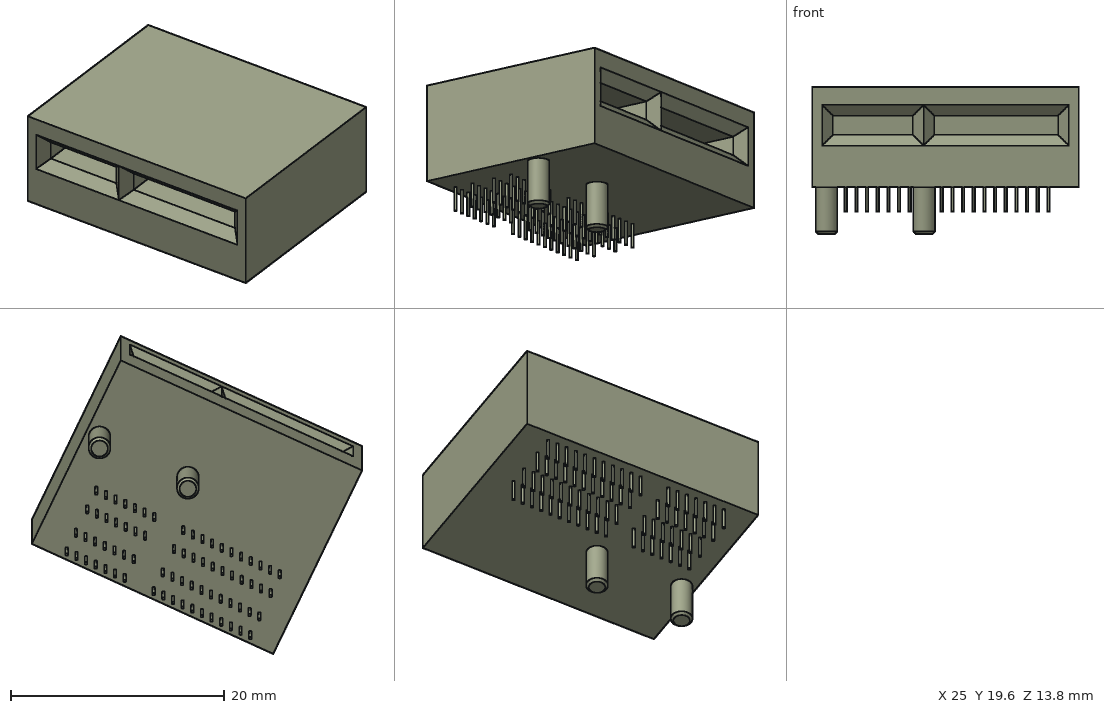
import cadquery as cq

LENGTH = 25.0
DEPTH = 19.6
TOTAL_HEIGHT = 13.8
PEG_LENGTH = 4.4
HEIGHT = TOTAL_HEIGHT - PEG_LENGTH
FRONT_Y = -DEPTH / 2

MOUTH_LEFT = -11.55
MOUTH_RIGHT = -MOUTH_LEFT
KEY_X = -2.05
MOUTH_BOTTOM = 3.9
MOUTH_TOP = 7.7
FLARE = 1.0
POCKET_DEPTH = 8.0

PIN_DIAMETER = 0.25
PIN_LENGTH = 2.3
PIN_PITCH = 1.0
FIRST_PIN_X = -9.35
COLUMNS_BEFORE_KEY = 7
COLUMNS_AFTER_KEY = 11
KEY_GAP = 3 * PIN_PITCH

ROW_SPACING = 2.0
PAIR_GAP = 2.5
REAR_ROW_Y = 8.8

PEG_DIAMETER = 2.05
PEG_TIP_CHAMFER = 0.25
PEG_Y = -2.25
FIRST_PEG_X = -11.15
SECOND_PEG_X = -2.0

EMBED = 0.25


def card_pocket(left, right):
    """Pocket between two mouth edges, with all four sides flared at 45 degrees."""
    centre_x = (left + right) / 2
    centre_z = (MOUTH_BOTTOM + MOUTH_TOP) / 2
    mouth_width = right - left
    mouth_height = MOUTH_TOP - MOUTH_BOTTOM
    throat_width = mouth_width - 2 * FLARE
    throat_height = mouth_height - 2 * FLARE
    mouth_plane = cq.Plane(origin=(centre_x, FRONT_Y, centre_z), xDir=(1, 0, 0), normal=(0, -1, 0))
    flare = (
        cq.Workplane(mouth_plane)
        .rect(mouth_width, mouth_height)
        .workplane(offset=-FLARE)
        .rect(throat_width, throat_height)
        .loft(ruled=True)
    )
    throat = cq.Workplane(mouth_plane).rect(throat_width, throat_height).extrude(-POCKET_DEPTH)
    return flare.union(throat)


def pin_positions():
    """Pin centres: every column has one pin in each of the four rows."""
    key_column_x = FIRST_PIN_X + (COLUMNS_BEFORE_KEY - 1) * PIN_PITCH + KEY_GAP
    columns = [FIRST_PIN_X + i * PIN_PITCH for i in range(COLUMNS_BEFORE_KEY)]
    columns += [key_column_x + i * PIN_PITCH for i in range(COLUMNS_AFTER_KEY)]
    rear_pair = (REAR_ROW_Y, REAR_ROW_Y - ROW_SPACING)
    front_pair = tuple(y - ROW_SPACING - PAIR_GAP for y in rear_pair)
    return [(x, y) for x in columns for y in rear_pair + front_pair]


def post(diameter, length, positions):
    """Round posts that hang below the housing."""
    return (
        cq.Workplane("XY")
        .workplane(offset=EMBED)
        .pushPoints(positions)
        .circle(diameter / 2)
        .extrude(-length - EMBED)
    )


housing = cq.Workplane("XY").box(LENGTH, DEPTH, HEIGHT, centered=(True, True, False))
for left, right in ((MOUTH_LEFT, KEY_X), (KEY_X, MOUTH_RIGHT)):
    housing = housing.cut(card_pocket(left, right))

pegs = post(PEG_DIAMETER, PEG_LENGTH, [(x, PEG_Y) for x in (FIRST_PEG_X, SECOND_PEG_X)])
pegs = pegs.faces("<Z").edges().chamfer(PEG_TIP_CHAMFER)
pins = post(PIN_DIAMETER, PIN_LENGTH, pin_positions())

result = housing.union(pegs).union(pins)